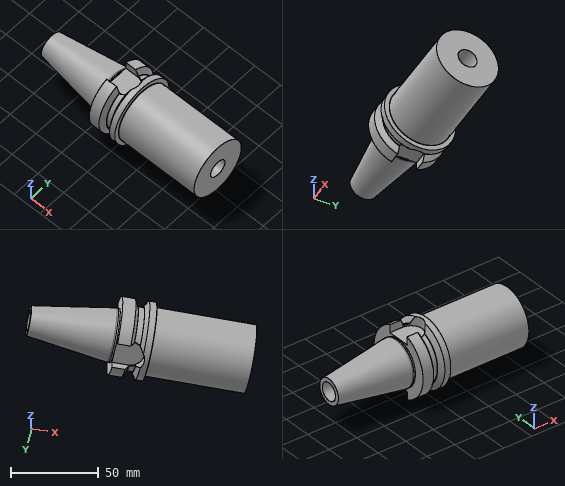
import cadquery as cq
import math

total_length = 129.3

gauge_length = 48.4
gauge_radius = 15.9
taper_half_slope = 7 / 48
taper_tip_radius = gauge_radius - gauge_length * taper_half_slope
neck_edge_x = 49.3
neck_relief = 0.06
neck_radius = gauge_radius - neck_relief

collar_start = 50.3
collar_width = 20.0
collar_end = collar_start + collar_width
collar_radius = 23.0
flank_root_radius = 19.1
groove_radius = 18.7
groove_floor_start = collar_start + 10.0
groove_floor_end = collar_start + 13.6
flank_angle = 60.0
flank_run = (collar_radius - flank_root_radius) / math.tan(math.radians(flank_angle))

body_radius = 20.0
relief_width = 0.3
relief_depth = 0.1

bore_radius = 6.1

slot_half_width = 8.0
slot_end = collar_start + 17.2
slot_floor = 16.2


def turned_profile():
    """Revolve the outside of the holder about the X axis."""
    outline = [
        (0, 0),
        (0, taper_tip_radius),
        (gauge_length, gauge_radius),
        (neck_edge_x, gauge_radius),
        (neck_edge_x, neck_radius),
        (collar_start, neck_radius),
        (collar_start, collar_radius),
        (groove_floor_start - flank_run, collar_radius),
        (groove_floor_start, flank_root_radius),
        (groove_floor_start, groove_radius),
        (groove_floor_end, groove_radius),
        (groove_floor_end, flank_root_radius),
        (groove_floor_end + flank_run, collar_radius),
        (collar_end, collar_radius),
        (collar_end, body_radius - relief_depth),
        (collar_end + relief_width, body_radius - relief_depth),
        (collar_end + relief_width, body_radius),
        (total_length, body_radius),
        (total_length, 0),
    ]
    return cq.Workplane("XY").polyline(outline).close().revolve(360, (0, 0, 0), (1, 0, 0))


def drive_slot():
    """Cutter for the slot on the +Z side."""
    arc_center = slot_end - slot_half_width
    return (
        cq.Workplane("XY", origin=(0, 0, slot_floor))
        .moveTo(collar_start, -slot_half_width)
        .lineTo(arc_center, -slot_half_width)
        .threePointArc((slot_end, 0), (arc_center, slot_half_width))
        .lineTo(collar_start, slot_half_width)
        .close()
        .extrude(collar_radius - slot_floor)
    )


upper_slot = drive_slot()
lower_slot = upper_slot.mirror("XY")
bore = cq.Workplane("YZ").circle(bore_radius).extrude(total_length)

result = turned_profile().cut(upper_slot).cut(lower_slot).cut(bore)